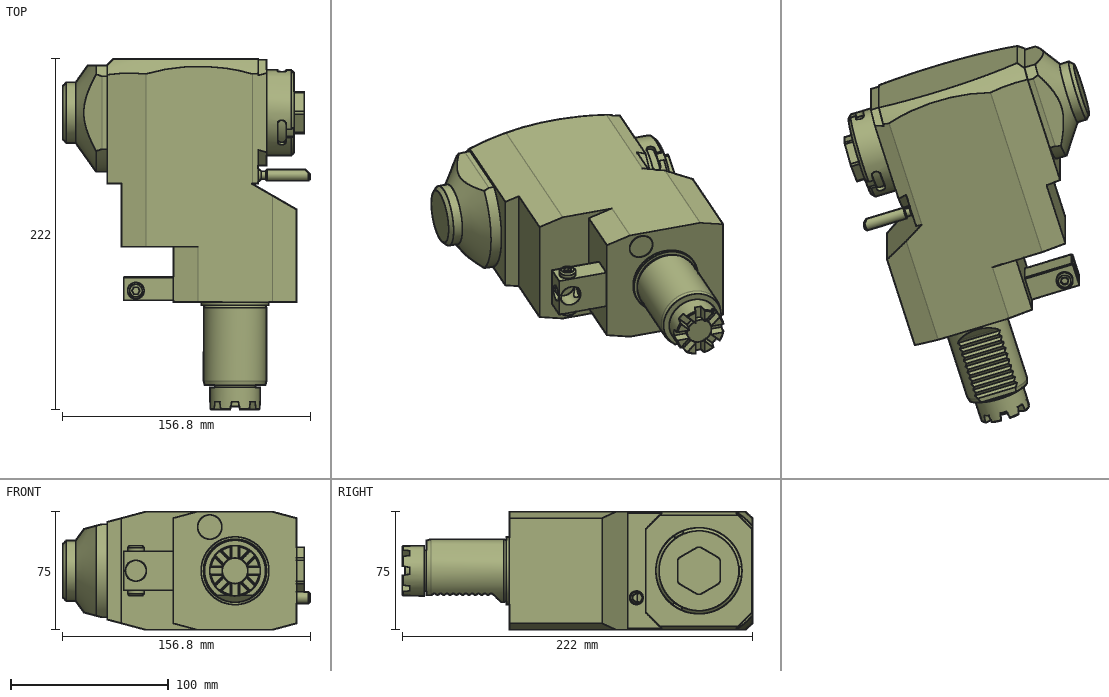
import cadquery as cq
import math


TOTAL_WIDTH = 156.83
TOTAL_LENGTH = 222.0

HALF_HEIGHT = 37.5
BEVEL_SLOPE = math.tan(math.radians(15))
BEVEL_WIDTH = 15.5
BASE_HALF_WIDTH = 39.0
MIDDLE_LEFT = -72.0
UPPER_LEFT = -81.0
UPPER_RIGHT = 14.6
LEFT_CREST = MIDDLE_LEFT + BEVEL_WIDTH
UPPER_RIGHT_CREST = 10.85
STEP_Y = 35.0
SHOULDER_Y = 75.0
TOP_Y = 154.0
SHOULDER_SLOPE = math.tan(math.radians(30))
BACK_CHAMFER = 3.75
BARREL_RADIUS = 47.6
BARREL_ARC_RADIUS = 205.0
RECESS_X = -16.0
RECESS_Z = 27.7
RECESS_RADIUS = 7.7
RECESS_DEPTH = 0.3

SPINDLE_Y = 120.0
COVER_TIP_X = -109.25
COVER_CAP_CHAMFER = 2.5
COVER_CAP_RADIUS = 19.3
COVER_RADIUS = 37.5
COVER_CONE_TIP_X = -100.9
COVER_CONE_BASE_X = -88.0
COVER_FLAT_HALF_HEIGHT = 29.5
COVER_FLAT_EDGE_X = -84.5
COVER_BACK_Y = 150.0
PLATE_HALF_DEPTH = 33.6
PLATE_CHAMFER = 10.0
PLATE_FACE_X = 20.0
NUT_RADIUS = 27.3
NUT_FACE_X = 37.5
NUT_CHAMFER = 2.0
NUT_SLOT_COUNT = 3
NUT_SLOT_FIRST_ANGLE = 29.0
NUT_SLOT_SPAN = 38.0
NUT_SLOT_X = 29.6
NUT_SLOT_WIDTH = 5.4
NUT_SLOT_DEPTH = 3.0
NUT_NOTCH_WIDTH = 6.2
NUT_NOTCH_DEPTH = 1.8
STUB_TIP_X = 43.9
STUB_ACROSS_FLATS = 26.8
STUB_CORNER_RADIUS = 15.0

PIN_Y = 80.4
PIN_Z = -17.1
PIN_TIP_X = COVER_TIP_X + TOTAL_WIDTH
PIN_RADIUS = 3.65
PIN_CHAMFER = 1.2
PIN_COLLAR_RADIUS = 4.3
PIN_COLLAR_WIDTH = 2.0
PIN_NECK_RADIUS = 2.6
PIN_BODY_X = 19.6
PIN_BACK_CHAMFER = 0.7
PIN_BEVEL = 3.0

BLOCK_LEFT = -70.6
BLOCK_FRONT_Y = 1.1
BLOCK_DEPTH = 15.0
BLOCK_HALF_HEIGHT = 12.4
BLOCK_CHAMFER = 0.7
BLOCK_HOLE_X = -62.8
BLOCK_HOLE_Y = 7.3
FRONT_HOLE_RADIUS = 6.6
FRONT_HOLE_DEPTH = 12.0
SIDE_HOLE_RADIUS = 4.9
SIDE_HOLE_DEPTH = 15.5
SIDE_SOCKET_WIDTH = 4.0
SCREW_RADIUS = 5.2
SCREW_HEIGHT = 3.5
SCREW_CHAMFER = 1.2
SCREW_SOCKET_WIDTH = 5.0
SOCKET_DEPTH = 2.0

SHANK_RADIUS = 20.0
COLLAR_RADIUS = 21.5
COLLAR_LENGTH = 2.0
GROOVE_RADIUS = 19.4
GROOVE_END = 3.6
SHANK_END = 52.6
SHANK_CHAMFER_LENGTH = 2.8
SHANK_CHAMFER_DEPTH = 0.7
NECK_RADIUS = 13.0
COLLET_NUT_RADIUS = 16.0
COLLET_NUT_START = 53.9
TIP_LENGTH = TOTAL_LENGTH - TOP_Y
COLLET_CHAMFER = 0.6
CORE_RADIUS = 8.1
CORE_RECESS = 1.8
COLLET_SLOT_COUNT = 8
COLLET_SLOT_MOUTH_WIDTH = 6.0
COLLET_SLOT_FLOOR_WIDTH = 4.2
COLLET_SLOT_DEPTH = 5.0
TOOTH_PITCH = 4.0
TOOTH_COUNT = 10
TOOTH_DEPTH = 1.3
RACK_START = 9.6
RACK_LEVEL = -15.6


def turned_along_x(profile, y, z):
    """Solid of revolution about a line parallel to X, from (x, radius) points."""
    plane = cq.Workplane("XY", origin=(0, y, z))
    return plane.polyline(profile).close().revolve(360, (0, 0), (1, 0))


def turned_shank(profile):
    """Solid of revolution about the Y axis, from (distance below the face, radius) points."""
    points = [(radius, -distance) for distance, radius in profile]
    return cq.Workplane("XY").polyline(points).close().revolve(360, (0, 0), (0, 1))


def housing_section(left, left_crest, right_crest, right, y_start, y_end):
    """Length of housing along Y, its top and bottom bevelled outside the two crests."""
    left_z = HALF_HEIGHT - (left_crest - left) * BEVEL_SLOPE
    right_z = HALF_HEIGHT - (right - right_crest) * BEVEL_SLOPE
    upper = [(left, left_z), (left_crest, HALF_HEIGHT), (right_crest, HALF_HEIGHT), (right, right_z)]
    lower = [(x, -z) for x, z in reversed(upper)]
    section = cq.Workplane("XZ", origin=(0, y_start, 0)).polyline(upper + lower).close()
    return section.extrude(y_start - y_end)


def make_base():
    crest = BASE_HALF_WIDTH - BEVEL_WIDTH
    base = housing_section(-BASE_HALF_WIDTH, -crest, crest, BASE_HALF_WIDTH, 0, SHOULDER_Y)
    drop = (BASE_HALF_WIDTH - UPPER_RIGHT_CREST) * SHOULDER_SLOPE
    corner = [
        (UPPER_RIGHT_CREST, SHOULDER_Y),
        (BASE_HALF_WIDTH, SHOULDER_Y - drop),
        (BASE_HALF_WIDTH, SHOULDER_Y),
    ]
    shoulder = cq.Workplane("XY").polyline(corner).close().extrude(HALF_HEIGHT, both=True)
    recess = cq.Workplane("XZ").center(RECESS_X, RECESS_Z).circle(RECESS_RADIUS).extrude(-RECESS_DEPTH)
    return base.cut(shoulder).cut(recess)


def make_middle():
    """Step to the left of the base; its right side lies inside the base."""
    base_crest = BASE_HALF_WIDTH - BEVEL_WIDTH
    return housing_section(MIDDLE_LEFT, LEFT_CREST, -base_crest, 0, STEP_Y, SHOULDER_Y)


def make_upper_housing():
    upper = housing_section(UPPER_LEFT, LEFT_CREST, UPPER_RIGHT_CREST, UPPER_RIGHT, SHOULDER_Y, TOP_Y)
    upper = upper.edges("|Z and >Y and <X").chamfer(BACK_CHAMFER)

    middle_x = (LEFT_CREST + UPPER_RIGHT_CREST) / 2

    def barrel_radius(x):
        arc_height = math.sqrt(BARREL_ARC_RADIUS**2 - (x - middle_x) ** 2)
        return BARREL_RADIUS - BARREL_ARC_RADIUS + arc_height

    barrel = (
        cq.Workplane("XY", origin=(0, SPINDLE_Y, 0))
        .moveTo(UPPER_LEFT, 0)
        .lineTo(UPPER_LEFT, barrel_radius(UPPER_LEFT))
        .threePointArc((middle_x, BARREL_RADIUS), (UPPER_RIGHT, barrel_radius(UPPER_RIGHT)))
        .lineTo(UPPER_RIGHT, 0)
        .close()
        .revolve(360, (0, 0), (1, 0))
    )
    front_size = (UPPER_RIGHT - UPPER_LEFT, SPINDLE_Y - SHOULDER_Y, 2 * HALF_HEIGHT)
    front_center = ((UPPER_LEFT + UPPER_RIGHT) / 2, (SPINDLE_Y + SHOULDER_Y) / 2, 0)
    front_half = cq.Workplane("XY").box(*front_size).translate(front_center)
    return upper.intersect(barrel).union(upper.intersect(front_half))


def make_cover():
    cap_face_radius = COVER_CAP_RADIUS - COVER_CAP_CHAMFER
    cover = turned_along_x(
        [
            (COVER_TIP_X, 0),
            (COVER_TIP_X, cap_face_radius),
            (COVER_TIP_X + COVER_CAP_CHAMFER, COVER_CAP_RADIUS),
            (COVER_CONE_TIP_X, COVER_CAP_RADIUS),
            (COVER_CONE_BASE_X, COVER_RADIUS),
            (UPPER_LEFT, COVER_RADIUS),
            (UPPER_LEFT, 0),
        ],
        SPINDLE_Y,
        0,
    )
    tip_height = COVER_FLAT_HALF_HEIGHT - (COVER_FLAT_EDGE_X - COVER_TIP_X) * BEVEL_SLOPE
    upper = [
        (COVER_TIP_X, tip_height),
        (COVER_FLAT_EDGE_X, COVER_FLAT_HALF_HEIGHT),
        (UPPER_LEFT, COVER_FLAT_HALF_HEIGHT),
    ]
    lower = [(x, -z) for x, z in reversed(upper)]
    envelope = cq.Workplane("XZ", origin=(0, COVER_BACK_Y, 0)).polyline(upper + lower).close()
    return cover.intersect(envelope.extrude(2 * COVER_RADIUS))


def make_plate():
    """Chamfered plate whose top and bottom carry on the bevel of the upper housing."""
    y_start = SPINDLE_Y - PLATE_HALF_DEPTH
    y_end = SPINDLE_Y + PLATE_HALF_DEPTH
    slab = housing_section(UPPER_LEFT, LEFT_CREST, UPPER_RIGHT_CREST, PLATE_FACE_X, y_start, y_end)
    half_height = HALF_HEIGHT - (UPPER_RIGHT - UPPER_RIGHT_CREST) * BEVEL_SLOPE
    plane = cq.Workplane("YZ", origin=(UPPER_RIGHT, SPINDLE_Y, 0))
    block = plane.rect(2 * PLATE_HALF_DEPTH, 2 * half_height).extrude(PLATE_FACE_X - UPPER_RIGHT)
    block = block.edges("|X").chamfer(PLATE_CHAMFER)
    return slab.intersect(block)


def make_nut_slot():
    """Curved slot in the nut's rim with a notch out to the nut's face, centred on +Z."""
    slot_length = 2 * NUT_RADIUS * math.sin(math.radians(NUT_SLOT_SPAN / 2))
    notch_length = NUT_FACE_X - NUT_SLOT_X
    plane = cq.Workplane("XY").center(NUT_SLOT_X, SPINDLE_Y)
    slot = plane.slot2D(slot_length, NUT_SLOT_WIDTH, 90).extrude(NUT_RADIUS)
    notch = plane.center(notch_length / 2, 0).rect(notch_length, NUT_NOTCH_WIDTH).extrude(NUT_RADIUS)
    core_plane = cq.Workplane("YZ", origin=(0, SPINDLE_Y, 0))
    slot = slot.cut(core_plane.circle(NUT_RADIUS - NUT_SLOT_DEPTH).extrude(NUT_FACE_X))
    notch = notch.cut(core_plane.circle(NUT_RADIUS - NUT_NOTCH_DEPTH).extrude(NUT_FACE_X))
    return slot.union(notch)


def make_nut():
    nut = cq.Workplane("YZ", origin=(PLATE_FACE_X, SPINDLE_Y, 0)).circle(NUT_RADIUS)
    nut = nut.extrude(NUT_FACE_X - PLATE_FACE_X).faces(">X").chamfer(NUT_CHAMFER)
    slot = make_nut_slot()
    for index in range(NUT_SLOT_COUNT):
        angle = NUT_SLOT_FIRST_ANGLE + index * 360 / NUT_SLOT_COUNT
        nut = nut.cut(slot.rotate((0, SPINDLE_Y, 0), (1, SPINDLE_Y, 0), angle))

    stub_plane = cq.Workplane("YZ", origin=(NUT_FACE_X, SPINDLE_Y, 0))
    stub_length = STUB_TIP_X - NUT_FACE_X
    across_corners = STUB_ACROSS_FLATS / math.cos(math.radians(30))
    hexagon = stub_plane.transformed(rotate=(0, 0, 90)).polygon(6, across_corners).extrude(stub_length)
    stub = hexagon.intersect(stub_plane.circle(STUB_CORNER_RADIUS).extrude(stub_length))
    return nut.union(stub)


def make_pin():
    pin = turned_along_x(
        [
            (UPPER_RIGHT, 0),
            (UPPER_RIGHT, PIN_COLLAR_RADIUS),
            (UPPER_RIGHT + PIN_COLLAR_WIDTH, PIN_NECK_RADIUS),
            (PIN_BODY_X, PIN_NECK_RADIUS),
            (PIN_BODY_X, PIN_RADIUS - PIN_BACK_CHAMFER),
            (PIN_BODY_X + PIN_BACK_CHAMFER, PIN_RADIUS),
            (PIN_TIP_X - PIN_CHAMFER, PIN_RADIUS),
            (PIN_TIP_X, PIN_RADIUS - PIN_CHAMFER),
            (PIN_TIP_X, 0),
        ],
        PIN_Y,
        PIN_Z,
    )
    pin_back = PIN_Y + PIN_RADIUS
    corner = [(PIN_TIP_X - PIN_BEVEL, pin_back), (PIN_TIP_X, pin_back), (PIN_TIP_X, pin_back - PIN_BEVEL)]
    bevel = cq.Workplane("XY", origin=(0, 0, PIN_Z)).polyline(corner).close()
    return pin.cut(bevel.extrude(PIN_RADIUS, both=True))


def make_clamp_screw():
    """Screw head on the block's top, with a hexagon socket."""
    plane = cq.Workplane("XY", origin=(BLOCK_HOLE_X, BLOCK_HOLE_Y, BLOCK_HALF_HEIGHT))
    screw = plane.circle(SCREW_RADIUS).extrude(SCREW_HEIGHT).faces(">Z").chamfer(SCREW_CHAMFER)
    return screw.faces(">Z").workplane().polygon(6, SCREW_SOCKET_WIDTH).cutBlind(-SOCKET_DEPTH)


def make_clamp_block():
    width = -BASE_HALF_WIDTH - BLOCK_LEFT
    center = (BLOCK_LEFT + width / 2, BLOCK_FRONT_Y + BLOCK_DEPTH / 2, 0)
    block = cq.Workplane("XY").box(width, BLOCK_DEPTH, 2 * BLOCK_HALF_HEIGHT).translate(center)
    block = block.faces(">Y").edges("not(>X)").chamfer(BLOCK_CHAMFER)
    front_plane = cq.Workplane("XZ", origin=(BLOCK_HOLE_X, BLOCK_FRONT_Y, 0))
    block = block.cut(front_plane.circle(FRONT_HOLE_RADIUS).extrude(-FRONT_HOLE_DEPTH))
    side_plane = cq.Workplane("YZ", origin=(BLOCK_LEFT, BLOCK_HOLE_Y, 0))
    block = block.cut(side_plane.circle(SIDE_HOLE_RADIUS).extrude(SIDE_HOLE_DEPTH))
    block = block.cut(side_plane.polygon(6, SIDE_SOCKET_WIDTH).extrude(SIDE_HOLE_DEPTH + SOCKET_DEPTH))
    screw = make_clamp_screw()
    return block.union(screw).union(screw.mirror("XY"))


def make_rack_cutter():
    """Everything below the toothed flat, from the sloping run-out to the shank's end."""
    depth = SHANK_RADIUS + TOOTH_DEPTH
    runout = depth + RACK_LEVEL
    points = [(-(RACK_START - runout), -depth), (-RACK_START, RACK_LEVEL)]
    for index in range(TOOTH_COUNT):
        tooth_y = -RACK_START - index * TOOTH_PITCH
        points.append((tooth_y - TOOTH_PITCH / 2, RACK_LEVEL + TOOTH_DEPTH))
        points.append((tooth_y - TOOTH_PITCH, RACK_LEVEL))
    points += [(-SHANK_END, RACK_LEVEL), (-SHANK_END, -depth)]
    return cq.Workplane("YZ").polyline(points).close().extrude(SHANK_RADIUS, both=True)


def make_shank():
    shank = turned_shank(
        [
            (0, 0),
            (0, COLLAR_RADIUS),
            (COLLAR_LENGTH, COLLAR_RADIUS),
            (COLLAR_LENGTH, GROOVE_RADIUS),
            (GROOVE_END, SHANK_RADIUS),
            (SHANK_END - SHANK_CHAMFER_LENGTH, SHANK_RADIUS),
            (SHANK_END, SHANK_RADIUS - SHANK_CHAMFER_DEPTH),
            (SHANK_END, NECK_RADIUS),
            (COLLET_NUT_START, NECK_RADIUS),
            (COLLET_NUT_START, 0),
        ]
    )
    return shank.cut(make_rack_cutter())


def make_collet_nut():
    nut = turned_shank(
        [
            (COLLET_NUT_START, 0),
            (COLLET_NUT_START, COLLET_NUT_RADIUS),
            (TIP_LENGTH - COLLET_CHAMFER, COLLET_NUT_RADIUS),
            (TIP_LENGTH, COLLET_NUT_RADIUS - COLLET_CHAMFER),
            (TIP_LENGTH, 0),
        ]
    )
    face = cq.Workplane("XZ", origin=(0, -TIP_LENGTH, 0))
    nut = nut.cut(face.circle(CORE_RADIUS).extrude(-COLLET_SLOT_DEPTH))

    floor_y = COLLET_SLOT_DEPTH - TIP_LENGTH
    half_mouth = COLLET_SLOT_MOUTH_WIDTH / 2
    half_floor = COLLET_SLOT_FLOOR_WIDTH / 2
    section = [
        (-TIP_LENGTH, -half_mouth),
        (-TIP_LENGTH, half_mouth),
        (floor_y, half_floor),
        (floor_y, -half_floor),
    ]
    slot = cq.Workplane("YZ").polyline(section).close().extrude(COLLET_NUT_RADIUS)
    for index in range(COLLET_SLOT_COUNT):
        nut = nut.cut(slot.rotate((0, 0, 0), (0, 1, 0), index * 360 / COLLET_SLOT_COUNT))

    core = cq.Workplane("XZ", origin=(0, floor_y, 0)).circle(CORE_RADIUS)
    return nut.union(core.extrude(COLLET_SLOT_DEPTH - CORE_RECESS))


result = (
    make_base()
    .union(make_middle())
    .union(make_upper_housing())
    .union(make_cover())
    .union(make_plate())
    .union(make_nut())
    .union(make_pin())
    .union(make_clamp_block())
    .union(make_shank())
    .union(make_collet_nut())
)